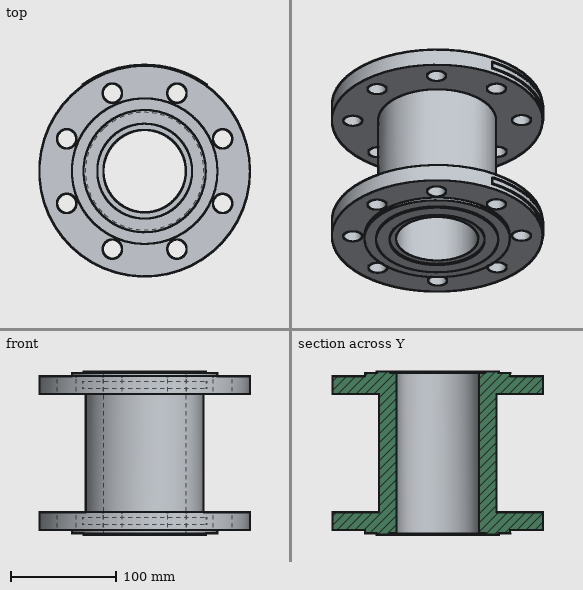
import cadquery as cq
import math

total_length = 155.0
bore_diameter = 78.0
pipe_diameter = 112.0

flange_diameter = 200.0
flange_thickness = 17.0
raised_face_diameter = 138.0
raised_face_height = 3.0

ring_outer_diameter = 116.0
ring_inner_diameter = 90.0
ring_height = 1.5

bolt_count = 8
bolt_hole_diameter = 18
bolt_circle_diameter = 160.0

band_height = 1.0
band_width = 6.8
band_half_span = 58.9

ring_top = total_length / 2
face_top = ring_top - ring_height
flange_top = face_top - raised_face_height
flange_bottom = flange_top - flange_thickness


def disc(diameter, z_low, z_high):
    """Solid cylinder about Z between two levels."""
    height = z_high - z_low
    return cq.Workplane("XY").workplane(offset=z_low).circle(diameter / 2).extrude(height)


def sealing_ring():
    """Flat ring around the bore, its inner edge set back from the bore."""
    return disc(ring_outer_diameter, face_top, ring_top).cut(disc(ring_inner_diameter, face_top, ring_top))


def bolt_holes():
    """Cutters for the bolt circle through the flange."""
    first_angle = 360 / bolt_count / 2
    return (
        cq.Workplane("XY")
        .workplane(offset=flange_bottom)
        .polarArray(bolt_circle_diameter / 2, first_angle, 360, bolt_count)
        .circle(bolt_hole_diameter / 2)
        .extrude(flange_thickness)
    )


def marking_band():
    """Thin curved pad standing proud of the flange rim, without its characters."""
    outer_radius = flange_diameter / 2 + band_height
    root_radius = flange_diameter / 2 - band_height
    half_angle = math.asin(band_half_span / outer_radius)

    def at_end(radius, side):
        return (side * radius * math.sin(half_angle), radius * math.cos(half_angle))

    band_bottom = (flange_bottom + flange_top - band_width) / 2
    return (
        cq.Workplane("XY")
        .workplane(offset=band_bottom)
        .moveTo(*at_end(root_radius, -1))
        .lineTo(*at_end(outer_radius, -1))
        .threePointArc((0, outer_radius), at_end(outer_radius, 1))
        .lineTo(*at_end(root_radius, 1))
        .threePointArc((0, root_radius), at_end(root_radius, -1))
        .close()
        .extrude(band_width)
    )


def upper_flange():
    return (
        disc(flange_diameter, flange_bottom, flange_top)
        .union(disc(raised_face_diameter, flange_top, face_top))
        .union(sealing_ring())
        .union(marking_band())
        .cut(bolt_holes())
    )


flange = upper_flange()
pipe = disc(pipe_diameter, -flange_bottom, flange_bottom)
bore = disc(bore_diameter, -ring_top, ring_top)
result = pipe.union(flange).union(flange.mirror("XY")).cut(bore)